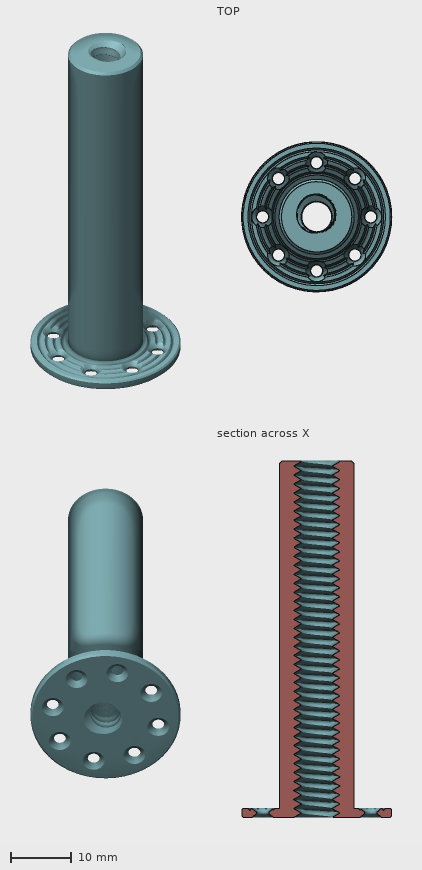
import cadquery as cq
import math

total_height = 59.38
flange_diameter = 25.0
flange_thickness = 1.6
tube_diameter = 12.5

tube_top_chamfer = 0.4
flange_top_chamfer = 0.25
flange_bottom_chamfer = 0.3

groove_count = 4
first_groove_offset = 1.0
groove_spacing = 1.3
groove_width = 0.6
groove_depth = 0.35

hole_count = 8
hole_circle_radius = 9.0
hole_diameter = 2.0
countersink_diameter = 3.6
countersink_depth = 0.65

bore_diameter = 5.0
thread_root_diameter = 7.6
thread_pitch = 1.5
thread_root_angle = 115.0
spiral_points = 6


def revolve_profile(points):
    """Revolve a closed (radius, height) outline around the Z axis."""
    return cq.Workplane("XZ").polyline(points).close().revolve(360, (0, 0, 0), (0, 1, 0))


def make_body():
    """Flange and tube as one turned shape, still without the bore."""
    flange_radius = flange_diameter / 2
    tube_radius = tube_diameter / 2
    return revolve_profile([
        (0, 0),
        (flange_radius - flange_bottom_chamfer, 0),
        (flange_radius, flange_bottom_chamfer),
        (flange_radius, flange_thickness - flange_top_chamfer),
        (flange_radius - flange_top_chamfer, flange_thickness),
        (tube_radius, flange_thickness),
        (tube_radius, total_height - tube_top_chamfer),
        (tube_radius - tube_top_chamfer, total_height),
        (0, total_height),
    ])


def make_groove(radius):
    """Ring with a V section, open at the upper face of the flange."""
    return revolve_profile([
        (radius - groove_width / 2, flange_thickness),
        (radius, flange_thickness - groove_depth),
        (radius + groove_width / 2, flange_thickness),
    ])


def make_flange_hole():
    """Hole on the Z axis with a countersink at each face of the flange."""
    hole_radius = hole_diameter / 2
    countersink_radius = countersink_diameter / 2
    return revolve_profile([
        (0, 0),
        (countersink_radius, 0),
        (hole_radius, countersink_depth),
        (hole_radius, flange_thickness - countersink_depth),
        (countersink_radius, flange_thickness),
        (0, flange_thickness),
    ])


def make_flange_holes():
    """Ring of countersunk holes, one of them on the +X axis."""
    hole = make_flange_hole().val()
    return (
        cq.Workplane("XY")
        .polarArray(hole_circle_radius, 0, 360, hole_count)
        .eachpoint(lambda location: hole.moved(location))
    )


def make_threaded_bore():
    """Threaded bore, ending at the top face and running out past the bottom.

    Its cross-section is a closed spiral whose radius grows from crest to root and
    back. Twisting it by 360 degrees gives one turn; the stack of turns is then
    doubled until it is longer than the part.
    """
    bore_radius = bore_diameter / 2
    thread_depth = thread_root_diameter / 2 - bore_radius

    def flank(start_angle, end_angle):
        points = []
        for i in range(spiral_points + 1):
            angle = start_angle + (end_angle - start_angle) * i / spiral_points
            radius = bore_radius + thread_depth * (1 - abs(angle) / math.pi)
            points.append((radius * math.cos(angle), radius * math.sin(angle)))
        return points

    section = (
        cq.Workplane("XY")
        .spline(flank(-math.pi, 0))
        .spline(flank(0, math.pi))
        .close()
    )
    turns = section.twistExtrude(thread_pitch, 360).val()
    height = thread_pitch
    while height < total_height:
        turns = turns.fuse(turns.translate(cq.Vector(0, 0, height)), glue=True)
        height *= 2
    bore = cq.Workplane(obj=turns).translate((0, 0, total_height - height))
    return bore.rotate((0, 0, 0), (0, 0, 1), thread_root_angle)


result = make_body()
for index in range(groove_count):
    groove_radius = tube_diameter / 2 + first_groove_offset + index * groove_spacing
    result = result.cut(make_groove(groove_radius))
result = result.cut(make_flange_holes())
result = result.cut(make_threaded_bore())